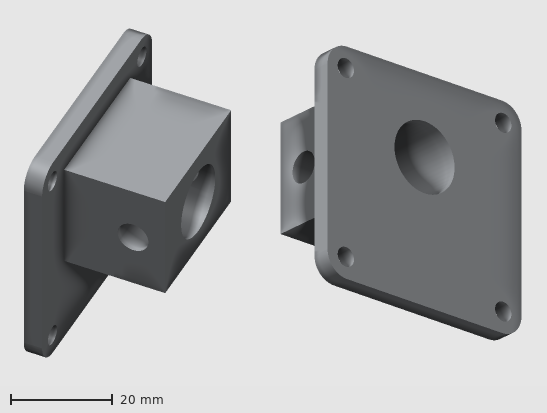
import cadquery as cq

plate_thickness = 4.0
plate_side = 50.0
plate_corner_radius = 5.0

screw_hole_diameter = 4.2
screw_hole_spacing = 40.6

block_length = 22.0
block_width = 30.0
block_height = 24.0
block_top_margin = 6.0
block_center_z = plate_side / 2 - block_top_margin - block_height / 2

bore_diameter = 15.5
cross_hole_diameter = 6.7
cross_hole_end_distance = 7.0

total_length = plate_thickness + block_length
cross_hole_x = total_length - cross_hole_end_distance


def make_plate():
    """Square plate with rounded corners."""
    plate = cq.Workplane("YZ").rect(plate_side, plate_side).extrude(plate_thickness)
    return plate.edges("|X").fillet(plate_corner_radius)


def make_block():
    """Rectangular block reaching from the plate's back face to the +X end."""
    return (
        cq.Workplane("YZ", origin=(plate_thickness, 0, block_center_z))
        .rect(block_width, block_height)
        .extrude(block_length)
    )


def make_screw_holes():
    """Four cylinders through the plate, on a square pattern."""
    return (
        cq.Workplane("YZ")
        .rect(screw_hole_spacing, screw_hole_spacing, forConstruction=True)
        .vertices()
        .circle(screw_hole_diameter / 2)
        .extrude(plate_thickness)
    )


def make_bore():
    """Cylinder through the plate and the block along X."""
    return (
        cq.Workplane("YZ", origin=(0, 0, block_center_z))
        .circle(bore_diameter / 2)
        .extrude(total_length)
    )


def make_cross_hole():
    """Cylinder through both side walls of the block along Y."""
    return (
        cq.Workplane("XZ", origin=(cross_hole_x, 0, block_center_z))
        .circle(cross_hole_diameter / 2)
        .extrude(block_width / 2, both=True)
    )


body = make_plate().union(make_block())
result = body.cut(make_screw_holes()).cut(make_bore()).cut(make_cross_hole())